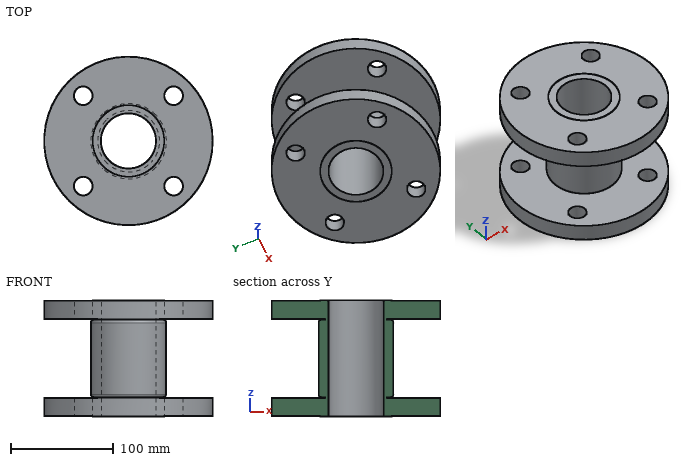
import cadquery as cq
import math

flange_diameter = 165.0
overall_height = 114.0

flange_thickness = 18.0
raised_face_height = 0.5
raised_face_diameter = 70.0

bolt_circle_diameter = 125.0
bolt_hole_diameter = 18.0
bolt_hole_count = 4
first_bolt_angle = 45.0

barrel_diameter = 73.8
barrel_edge_radius = 3.0
bore_diameter = 53.7
collar_height = 0.5
collar_diameter = 60.3

face_z = overall_height / 2
flange_outer_z = face_z - raised_face_height
flange_inner_z = flange_outer_z - flange_thickness
barrel_end_z = flange_inner_z - collar_height


def cylinder(diameter, bottom_z, top_z):
    """Solid cylinder on the Z axis between two heights."""
    disc = cq.Workplane("XY").workplane(offset=bottom_z).circle(diameter / 2)
    return disc.extrude(top_z - bottom_z)


def make_barrel():
    """Tube body with rounded ends."""
    barrel = cylinder(barrel_diameter, -barrel_end_z, barrel_end_z)
    return barrel.edges().fillet(barrel_edge_radius)


def make_bolt_holes():
    """Cutters for the bolt holes, running through both flanges."""
    pattern_radius = bolt_circle_diameter / 2
    centres = []
    for index in range(bolt_hole_count):
        angle = math.radians(first_bolt_angle + index * 360.0 / bolt_hole_count)
        centres.append((pattern_radius * math.cos(angle), pattern_radius * math.sin(angle)))
    start = cq.Workplane("XY").workplane(offset=-face_z).pushPoints(centres)
    return start.circle(bolt_hole_diameter / 2).extrude(overall_height)


def make_part():
    """Two flanges joined by the barrel, with collars, raised faces, bolt holes and bore."""
    body = make_barrel()
    body = body.union(cylinder(collar_diameter, -flange_inner_z, flange_inner_z))
    body = body.union(cylinder(raised_face_diameter, flange_inner_z, face_z))
    body = body.union(cylinder(raised_face_diameter, -face_z, -flange_inner_z))
    body = body.union(cylinder(flange_diameter, flange_inner_z, flange_outer_z))
    body = body.union(cylinder(flange_diameter, -flange_outer_z, -flange_inner_z))
    body = body.cut(make_bolt_holes())
    return body.cut(cylinder(bore_diameter, -face_z, face_z))


result = make_part()